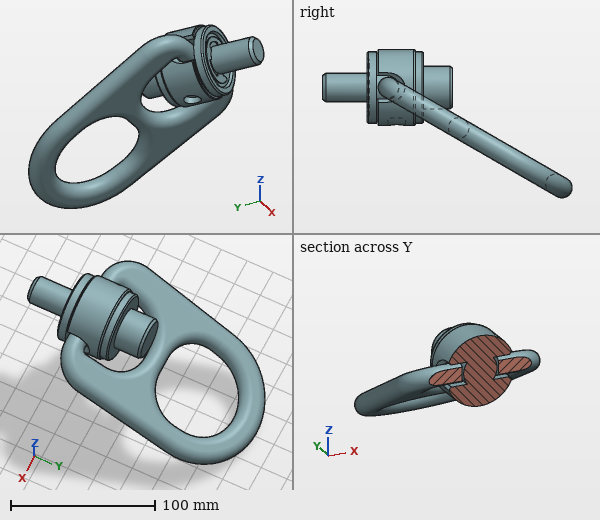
import cadquery as cq
import math


OVERALL_LENGTH = 173.2

BAR_RADIUS = 7.1
BAIL_TILT = 30.0
BAIL_LENGTH = 138.9
SHOULDER_HALF_WIDTH = 27.9
SHOULDER_RADIUS = 18.4
CROWN_RADIUS = 43.6
BAR_END = 13.9

EYE_BOTTOM = 56.3
EYE_TOP = 134.0
EYE_LOWER_HALF_WIDTH = 6.5
EYE_LOWER_RADIUS = 32.9
EYE_UPPER_RADIUS = 39.1

OPENING_GAP = 0.2
OPENING_TOP = EYE_BOTTOM - OPENING_GAP
OPENING_LOWER_HALF_WIDTH = 25.8
OPENING_LOWER_RADIUS = 9.5
OPENING_UPPER_HALF_WIDTH = 2.0
OPENING_UPPER_RADIUS = 32.4

HEAD_RADIUS = 14.9
HEAD_END = 44.5
HEAD_CHAMFER_LENGTH = 1.9
HEAD_CHAMFER_DEPTH = 1.4
FLANGE_RADIUS = 25.0
FLANGE_CHAMFER = 1.0
REAR_FLANGE_END = 24.5
BARREL_RADIUS = 26.5
BARREL_REAR = 18.7
BARREL_FRONT = -7.3
BARREL_REAR_CHAMFER_LENGTH = 1.2
BARREL_FRONT_CHAMFER_LENGTH = 0.5
BARREL_CHAMFER_DEPTH = 0.7
GROOVE_RADIUS = 24.0
GROOVE_WIDTH = 1.0
FRONT_FLANGE_REAR = BARREL_FRONT - GROOVE_WIDTH
FRONT_FLANGE_END = -14.9
STUD_RADIUS = 10.0
STUD_END = BAIL_LENGTH * math.cos(math.radians(BAIL_TILT)) + BAR_RADIUS - OVERALL_LENGTH
STUD_CHAMFER_LENGTH = 2.5
STUD_CHAMFER_DEPTH = 1.9

RECESS_RADIUS = 20.3
RECESS_FLOOR_RADIUS = 19.0
RECESS_DEPTH = 1.7
RECESS_FLOOR = FRONT_FLANGE_END + RECESS_DEPTH
CLIP_RADIUS = 16.6
CLIP_THICKNESS = 0.9
CLIP_MOUTH_HALF_WIDTH = 8.1
CLIP_POCKET_RADIUS = 13.2
CLIP_POCKET_START = 90.0
CLIP_POCKET_END = 158.0
CLIP_CORNER_RADIUS = 1.4

CORE_RADIUS = 13.0
SLOT_HALF_WIDTH = 8.1
SLOT_CENTRE = -0.9
FLARE_START = 22.3
FLARE_ANGLE = 45.0

POCKET_RADIUS = 6.0
POCKET_CENTRE = 5.9
POCKET_DEPTH = 5.2


def point_on(circle, angle):
    """Point on the circle (x, y, radius) at an angle from +X."""
    x, y, radius = circle
    return x + radius * math.cos(angle), y + radius * math.sin(angle)


def tangent_angle(lower, upper):
    """Direction of the outward normal of the line touching the right side of both circles."""
    dx = lower[0] - upper[0]
    dy = lower[1] - upper[1]
    return math.acos((upper[2] - lower[2]) / math.hypot(dx, dy)) + math.atan2(dy, dx)


def mirrored(point):
    return -point[0], point[1]


def loop_path(start_x, lower, upper):
    """Symmetric open loop from (start_x, bottom) over the top to (-start_x, bottom).

    Each side is a bottom corner arc, a slightly tapered line and a top corner arc.
    """
    down = -math.pi / 2
    side = tangent_angle(lower, upper)
    up = math.pi / 2
    bottom = point_on(lower, down)
    lower_middle = point_on(lower, (down + side) / 2)
    side_start = point_on(lower, side)
    side_end = point_on(upper, side)
    upper_middle = point_on(upper, (side + up) / 2)
    top = point_on(upper, up)

    path = cq.Workplane("XY").moveTo(start_x, bottom[1])
    if start_x != lower[0]:
        path = path.lineTo(*bottom)
    path = path.threePointArc(lower_middle, side_start).lineTo(*side_end)
    path = path.threePointArc(upper_middle, top)
    if upper[0] > 0:
        path = path.lineTo(*mirrored(top))
    path = path.threePointArc(mirrored(upper_middle), mirrored(side_end)).lineTo(*mirrored(side_start))
    path = path.threePointArc(mirrored(lower_middle), mirrored(bottom))
    if start_x != lower[0]:
        path = path.lineTo(-start_x, bottom[1])
    return path


OUTLINE = (
    (SHOULDER_HALF_WIDTH, SHOULDER_RADIUS, SHOULDER_RADIUS),
    (0, BAIL_LENGTH - CROWN_RADIUS, CROWN_RADIUS),
)
EYE = (
    (EYE_LOWER_HALF_WIDTH, EYE_BOTTOM + EYE_LOWER_RADIUS, EYE_LOWER_RADIUS),
    (0, EYE_TOP - EYE_UPPER_RADIUS, EYE_UPPER_RADIUS),
)
OPENING = (
    (OPENING_LOWER_HALF_WIDTH, OPENING_LOWER_RADIUS, OPENING_LOWER_RADIUS),
    (OPENING_UPPER_HALF_WIDTH, OPENING_TOP - OPENING_UPPER_RADIUS, OPENING_UPPER_RADIUS),
)


def tube(path, start_x, bottom):
    """Round bar along a path that starts in the X direction."""
    return cq.Workplane("YZ", origin=(start_x, 0, 0)).center(bottom, 0).circle(BAR_RADIUS).sweep(path)


def slab(path):
    """Flat plate as thick as the bar, filling the closed path."""
    return path.close().extrude(BAR_RADIUS, both=True)


def make_bail():
    eye_start = EYE_LOWER_HALF_WIDTH
    opening_start = OPENING_LOWER_HALF_WIDTH
    plate = slab(loop_path(opening_start, *OUTLINE))
    plate = plate.cut(slab(loop_path(eye_start, *EYE)))
    plate = plate.cut(slab(loop_path(opening_start, *OPENING)))
    outer_tube = tube(loop_path(BAR_END, *OUTLINE), BAR_END, 0)
    eye_tube = tube(loop_path(eye_start, *EYE).close(), eye_start, EYE_BOTTOM)
    opening_tube = tube(loop_path(opening_start, *OPENING), opening_start, 0)
    bail = outer_tube.union(plate).union(eye_tube).union(opening_tube)
    return bail.rotate((0, 0, 0), (1, 0, 0), -BAIL_TILT)


def turned_swivel():
    """Revolved shape of bolt, flanges and barrel; points are (radius, y) from head to stud."""
    barrel_edge = BARREL_RADIUS - BARREL_CHAMFER_DEPTH
    flange_edge = FLANGE_RADIUS - FLANGE_CHAMFER
    profile = [
        (0, HEAD_END),
        (HEAD_RADIUS - HEAD_CHAMFER_DEPTH, HEAD_END),
        (HEAD_RADIUS, HEAD_END - HEAD_CHAMFER_LENGTH),
        (HEAD_RADIUS, REAR_FLANGE_END),
        (flange_edge, REAR_FLANGE_END),
        (FLANGE_RADIUS, REAR_FLANGE_END - FLANGE_CHAMFER),
        (FLANGE_RADIUS, BARREL_REAR),
        (barrel_edge, BARREL_REAR),
        (BARREL_RADIUS, BARREL_REAR - BARREL_REAR_CHAMFER_LENGTH),
        (BARREL_RADIUS, BARREL_FRONT + BARREL_FRONT_CHAMFER_LENGTH),
        (barrel_edge, BARREL_FRONT),
        (GROOVE_RADIUS, BARREL_FRONT),
        (GROOVE_RADIUS, FRONT_FLANGE_REAR),
        (FLANGE_RADIUS, FRONT_FLANGE_REAR),
        (FLANGE_RADIUS, FRONT_FLANGE_END + FLANGE_CHAMFER),
        (flange_edge, FRONT_FLANGE_END),
        (RECESS_RADIUS, FRONT_FLANGE_END),
        (RECESS_FLOOR_RADIUS, RECESS_FLOOR),
        (STUD_RADIUS, RECESS_FLOOR),
        (STUD_RADIUS, STUD_END + STUD_CHAMFER_LENGTH),
        (STUD_RADIUS - STUD_CHAMFER_DEPTH, STUD_END),
        (0, STUD_END),
    ]
    return cq.Workplane("XY").polyline(profile).close().revolve(360, (0, 0, 0), (0, 1, 0))


def retaining_clip():
    """E-clip around the stud, open towards +X, with two pockets between its three prongs."""
    plane = cq.Workplane("XZ", origin=(0, RECESS_FLOOR, 0))
    clip = plane.circle(CLIP_RADIUS).extrude(CLIP_THICKNESS)
    mouth = plane.center(CLIP_RADIUS, 0).rect(2 * CLIP_RADIUS, 2 * CLIP_MOUTH_HALF_WIDTH)
    clip = clip.cut(mouth.extrude(CLIP_THICKNESS))
    tip_selector = cq.selectors.BoxSelector(
        (STUD_RADIUS, RECESS_FLOOR - CLIP_THICKNESS, -CLIP_RADIUS), (CLIP_RADIUS, RECESS_FLOOR, CLIP_RADIUS)
    )
    clip = clip.edges("|Y").edges(tip_selector).fillet(CLIP_CORNER_RADIUS)

    start = math.radians(CLIP_POCKET_START)
    end = math.radians(CLIP_POCKET_END)
    circle = (0, 0, CLIP_POCKET_RADIUS)
    pocket = (
        plane.lineTo(*point_on(circle, start))
        .threePointArc(point_on(circle, (start + end) / 2), point_on(circle, end))
        .close()
        .extrude(CLIP_THICKNESS)
        .edges("|Y")
        .fillet(CLIP_CORNER_RADIUS)
    )
    return clip.cut(pocket).cut(pocket.mirror("XY"))


def slot_profile(distance):
    """Slot outline at a distance along +X: rounded at the rear, running out past the barrel front."""
    beyond_front = 2 * BARREL_FRONT
    return (
        cq.Workplane("YZ", origin=(distance, SLOT_CENTRE, 0))
        .moveTo(beyond_front, -SLOT_HALF_WIDTH)
        .lineTo(0, -SLOT_HALF_WIDTH)
        .threePointArc((SLOT_HALF_WIDTH, 0), (0, SLOT_HALF_WIDTH))
        .lineTo(beyond_front, SLOT_HALF_WIDTH)
        .close()
    )


def bail_slot():
    """Slot on the +X side between the core and the barrel surface, ending at the front flange."""
    straight = slot_profile(0).extrude(BARREL_RADIUS)
    flare = slot_profile(FLARE_START).extrude(BARREL_RADIUS - FLARE_START, taper=-FLARE_ANGLE)
    barrel_shell = (
        cq.Workplane("XZ", origin=(0, FRONT_FLANGE_REAR, 0))
        .circle(BARREL_RADIUS)
        .circle(CORE_RADIUS)
        .extrude(FRONT_FLANGE_REAR - BARREL_REAR)
    )
    return straight.union(flare).intersect(barrel_shell)


def underside_pocket():
    pocket = cq.Workplane("XY", origin=(0, POCKET_CENTRE, -BARREL_RADIUS))
    return pocket.circle(POCKET_RADIUS).extrude(POCKET_DEPTH)


def make_swivel():
    swivel = turned_swivel().union(retaining_clip())
    slot = bail_slot()
    swivel = swivel.cut(slot).cut(slot.mirror("YZ"))
    return swivel.cut(underside_pocket())


bail = make_bail()
swivel = make_swivel()
result = cq.Compound.makeCompound([bail.solids().val(), swivel.solids().val()])